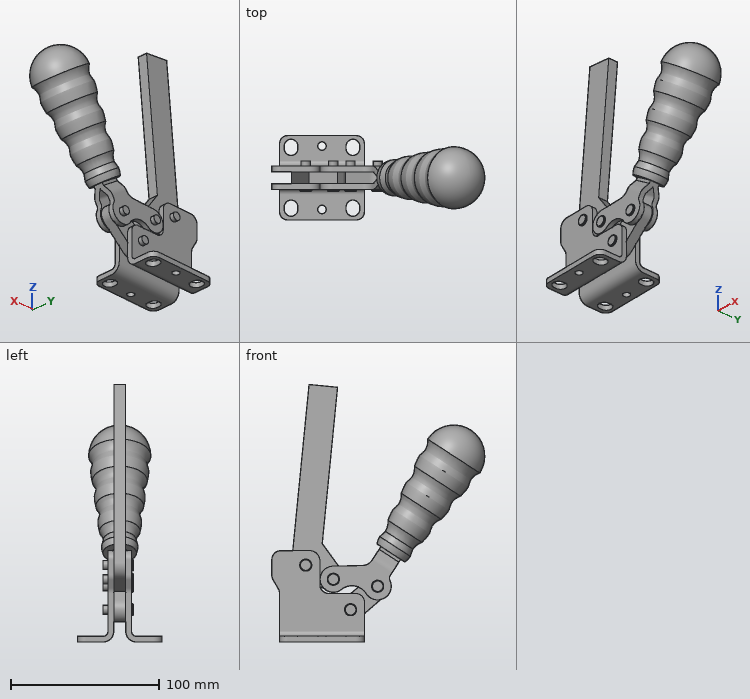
import cadquery as cq
import math


SHEET = 4.0
GAP = 8.0
INNER_Y = GAP / 2
OUTER_Y = INNER_Y + SHEET

HEIGHT = 173.8
BASE_LENGTH = 57.4
BASE_WIDTH = 57.0
BASE_END = BASE_LENGTH / 2
BEND_RADIUS = 3.3
FOOT_CORNER = 5.5
FRAME_LEFT = -33.9
FRAME_TOP = 61.7
FRAME_STEP_X = -1.4
FRAME_STEP_Z = 32.9
TAPER_TOP = 43.5
TAPER_BOTTOM = 34.6
FRAME_CORNER = 6.0
FRAME_SHOULDER_CORNER = 7.0

SLOT_WIDTH = 9.0
SLOT_LENGTH = 10.8
SLOT_X = 20.9
SLOT_Y = 20.5
HOLE_DIAMETER = 5.5
HOLE_Y = 21.4

BAR_PIVOT = (-11.0, 52.0)
ARM_PIVOT = (7.6, 42.5)
LINK_TOP = (37.5, 37.7)
LINK_BOTTOM = (19.3, 21.9)
HEAD_DIAMETER = 8.2
HEAD_HEIGHT = 1.2
HEAD_CHAMFER = 0.5
PIN_DIAMETER = 6.3
PIN_END_Y = 11.3

BAR_TILT = 5.6
BAR_HALF_WIDTH = 9.7
BAR_SHOULDER = 15.5
BAR_FOOT_RADIUS = 8.2
LINK_RADIUS = 8.2

ARM_RADIUS = 8.9
ELBOW_RADIUS = 9.2
ARCH_RADIUS = 11.3
ARM_TOP_RISE = 1.5
ARM_TOP_FILLET = 8.0
ARM_HEEL_FILLET = 3.5

HANDLE_BASE = (46.5, 60.1)
HANDLE_ANGLE = 57.0
NECK_WIDTH = 16.0
NECK_DROP = 10.6
NECK_BEND_ANGLE = 33.0
NECK_BEND_RADIUS = 7.5
TANG_DEPTH = 13.9

RING_COUNT = 4
GRIP_RADIUS = 11.3
RING_PITCH = 20.2
RING_GROWTH = 2.5
FIRST_CREST = 5.2
FIRST_CREST_RADIUS = 12.3
SWELL_BULGE = 0.26
WAIST_DISTANCE = 5.0
WAIST_DEPTH = 1.2
FLARE_LENGTH = 7.1
FLARE_RISE = 2.6
FLARE_HOLLOW = 0.7


def direction(degrees):
    angle = math.radians(degrees)
    return (math.cos(angle), math.sin(angle))


def along(start, heading, distance):
    return (start[0] + distance * heading[0], start[1] + distance * heading[1])


def on_circle(center, radius, degrees):
    return along(center, direction(degrees), radius)


def bearing(start, end):
    return math.degrees(math.atan2(end[1] - start[1], end[0] - start[0]))


def meeting_point(a, heading_a, b, heading_b):
    """Intersection of two lines, each given by a point and a heading."""
    cross = heading_a[0] * heading_b[1] - heading_a[1] * heading_b[0]
    distance = ((b[0] - a[0]) * heading_b[1] - (b[1] - a[1]) * heading_b[0]) / cross
    return along(a, heading_a, distance)


def slab_plane(y_max):
    """Sketch plane parallel to XZ; extruding from it goes towards -Y."""
    return cq.Workplane("XZ", origin=(0, y_max, 0))


def disc(center, diameter, y_min, y_max):
    return slab_plane(y_max).center(*center).circle(diameter / 2).extrude(y_max - y_min)


def with_mirror(body):
    return body.union(body.mirror("XZ"))


def make_frame_side():
    foot_y = OUTER_Y + BEND_RADIUS
    bend_top = SHEET + BEND_RADIUS
    shoulder = cq.selectors.NearestToPointSelector((FRAME_STEP_X, -INNER_Y - SHEET / 2, FRAME_TOP))
    plate = (
        slab_plane(-INNER_Y)
        .polyline([
            (-BASE_END, bend_top),
            (BASE_END, bend_top),
            (BASE_END, FRAME_STEP_Z),
            (FRAME_STEP_X, FRAME_STEP_Z),
            (FRAME_STEP_X, FRAME_TOP),
            (FRAME_LEFT, FRAME_TOP),
            (FRAME_LEFT, TAPER_TOP),
            (-BASE_END, TAPER_BOTTOM),
        ])
        .close()
        .extrude(SHEET)
    )
    shoulder_edge = plate.edges("|Y").edges(shoulder).val()
    corners = plate.edges("|Y and (not <Z)").filter(lambda edge: not edge.isSame(shoulder_edge))
    plate = corners.fillet(FRAME_CORNER)
    plate = plate.edges("|Y").edges(shoulder).fillet(FRAME_SHOULDER_CORNER)
    bend = (
        cq.Workplane("YZ", origin=(-BASE_END, 0, 0))
        .moveTo(-INNER_Y, bend_top)
        .radiusArc((-foot_y, 0), bend_top)
        .lineTo(-foot_y, SHEET)
        .radiusArc((-OUTER_Y, bend_top), -BEND_RADIUS)
        .close()
        .extrude(BASE_LENGTH)
    )
    foot_depth = BASE_WIDTH / 2 - foot_y
    foot = (
        cq.Workplane("XY")
        .center(0, -foot_y - foot_depth / 2)
        .rect(BASE_LENGTH, foot_depth)
        .extrude(SHEET)
        .edges("|Z and <Y")
        .fillet(FOOT_CORNER)
    )
    slots = (
        cq.Workplane("XY")
        .pushPoints([(-SLOT_X, -SLOT_Y), (SLOT_X, -SLOT_Y)])
        .slot2D(SLOT_LENGTH, SLOT_WIDTH, 90)
        .extrude(SHEET)
    )
    hole = cq.Workplane("XY").center(0, -HOLE_Y).circle(HOLE_DIAMETER / 2).extrude(SHEET)
    return plate.union(bend).union(foot.cut(slots).cut(hole))


def make_bar():
    up = direction(90 - BAR_TILT)
    right = direction(-BAR_TILT)
    left_of_pivot = along(BAR_PIVOT, right, -BAR_HALF_WIDTH)
    right_of_pivot = along(BAR_PIVOT, right, BAR_HALF_WIDTH)
    top_left = along(left_of_pivot, up, (HEIGHT - left_of_pivot[1]) / up[1])
    top_right = along(top_left, right, 2 * BAR_HALF_WIDTH)
    shoulder = along(right_of_pivot, up, BAR_SHOULDER)

    spacing = math.dist(BAR_PIVOT, ARM_PIVOT)
    narrowing = math.degrees(math.asin((BAR_HALF_WIDTH - BAR_FOOT_RADIUS) / spacing))
    under = bearing(BAR_PIVOT, ARM_PIVOT) - 90 + narrowing

    shoulder_reach = math.dist(ARM_PIVOT, shoulder)
    swing = math.degrees(math.acos(BAR_FOOT_RADIUS / shoulder_reach))
    slope = bearing(ARM_PIVOT, shoulder) - swing

    start = 180 - BAR_TILT
    return (
        slab_plane(INNER_Y)
        .moveTo(*top_left)
        .lineTo(*left_of_pivot)
        .threePointArc(
            on_circle(BAR_PIVOT, BAR_HALF_WIDTH, (start + under + 360) / 2),
            on_circle(BAR_PIVOT, BAR_HALF_WIDTH, under),
        )
        .lineTo(*on_circle(ARM_PIVOT, BAR_FOOT_RADIUS, under))
        .threePointArc(
            on_circle(ARM_PIVOT, BAR_FOOT_RADIUS, (under + slope) / 2),
            on_circle(ARM_PIVOT, BAR_FOOT_RADIUS, slope),
        )
        .lineTo(*shoulder)
        .lineTo(*top_right)
        .close()
        .extrude(GAP)
    )


def make_link():
    middle = [(a + b) / 2 for a, b in zip(LINK_TOP, LINK_BOTTOM)]
    length = math.dist(LINK_TOP, LINK_BOTTOM) + 2 * LINK_RADIUS
    return (
        slab_plane(INNER_Y)
        .center(*middle)
        .slot2D(length, 2 * LINK_RADIUS, bearing(LINK_BOTTOM, LINK_TOP))
        .extrude(GAP)
    )


def handle_plane():
    """Plane on the handle axis: local x along the grip, local y along Y."""
    axis = direction(HANDLE_ANGLE)
    return cq.Workplane(
        cq.Plane(
            origin=(HANDLE_BASE[0], 0, HANDLE_BASE[1]),
            xDir=(axis[0], 0, axis[1]),
            normal=(-axis[1], 0, axis[0]),
        )
    )


def arch_center():
    """Centre of the arc that touches the rounds about both arm pivots from below."""
    spacing = math.dist(ARM_PIVOT, LINK_TOP)
    near = ARM_RADIUS + ARCH_RADIUS
    far = ELBOW_RADIUS + ARCH_RADIUS
    cosine = (near**2 + spacing**2 - far**2) / (2 * near * spacing)
    return on_circle(ARM_PIVOT, near, bearing(ARM_PIVOT, LINK_TOP) - math.degrees(math.acos(cosine)))


def make_arm():
    axis = direction(HANDLE_ANGLE)
    across = direction(HANDLE_ANGLE - 90)
    neck_start = along(HANDLE_BASE, axis, -NECK_DROP)
    neck_left = along(neck_start, across, -NECK_WIDTH / 2)
    neck_right = along(neck_start, across, NECK_WIDTH / 2)
    top_angle = 90 + ARM_TOP_RISE
    top_start = on_circle(ARM_PIVOT, ARM_RADIUS, top_angle)
    crook = meeting_point(top_start, direction(ARM_TOP_RISE), neck_left, axis)

    edge_offset = (neck_right[0] - LINK_TOP[0]) * across[0] + (neck_right[1] - LINK_TOP[1]) * across[1]
    heel_angle = HANDLE_ANGLE - 90 + math.degrees(math.acos(edge_offset / ELBOW_RADIUS))
    heel = on_circle(LINK_TOP, ELBOW_RADIUS, heel_angle)

    arch = arch_center()
    arch_from = bearing(ARM_PIVOT, arch)
    arch_to = bearing(LINK_TOP, arch)
    crown = (arch_from + 180 + arch_to + 540) / 2 - 180
    plate = (
        slab_plane(-INNER_Y)
        .moveTo(*top_start)
        .threePointArc(
            on_circle(ARM_PIVOT, ARM_RADIUS, (top_angle + arch_from + 360) / 2),
            on_circle(ARM_PIVOT, ARM_RADIUS, arch_from),
        )
        .threePointArc(
            on_circle(arch, ARCH_RADIUS, crown),
            on_circle(LINK_TOP, ELBOW_RADIUS, arch_to),
        )
        .threePointArc(
            on_circle(LINK_TOP, ELBOW_RADIUS, (arch_to + heel_angle) / 2),
            heel,
        )
        .lineTo(*neck_right)
        .lineTo(*neck_left)
        .lineTo(*crook)
        .close()
        .extrude(SHEET)
    )
    for corner, radius in [(crook, ARM_TOP_FILLET), (heel, ARM_HEEL_FILLET)]:
        nearest = cq.selectors.NearestToPointSelector((corner[0], -INNER_Y - SHEET / 2, corner[1]))
        plate = plate.edges("|Y").edges(nearest).fillet(radius)
    return plate.union(make_neck())


def make_neck():
    """Strip that bends inwards from the arm to Y = 0, then runs into the grip."""
    bend_center = (-NECK_DROP, NECK_BEND_RADIUS - OUTER_Y)
    inner_radius = NECK_BEND_RADIUS - SHEET
    bend_end = NECK_BEND_ANGLE - 90
    bend_middle = NECK_BEND_ANGLE / 2 - 90
    inward = direction(NECK_BEND_ANGLE)
    outer_end = on_circle(bend_center, NECK_BEND_RADIUS, bend_end)
    inner_end = on_circle(bend_center, inner_radius, bend_end)
    tang_outer = meeting_point(outer_end, inward, (0, -SHEET), (1, 0))
    tang_inner = meeting_point(inner_end, inward, (0, 0), (1, 0))
    return (
        handle_plane()
        .moveTo(-NECK_DROP, -OUTER_Y)
        .threePointArc(on_circle(bend_center, NECK_BEND_RADIUS, bend_middle), outer_end)
        .lineTo(*tang_outer)
        .lineTo(TANG_DEPTH, -SHEET)
        .lineTo(TANG_DEPTH, 0)
        .lineTo(*tang_inner)
        .lineTo(*inner_end)
        .threePointArc(
            on_circle(bend_center, inner_radius, bend_middle),
            (-NECK_DROP, -INNER_Y),
        )
        .close()
        .extrude(NECK_WIDTH / 2, both=True)
    )


def make_grip():
    """Revolved grip: each ring swells to a crest, narrows to a waist, then flares to the next."""
    ring_start = (0, GRIP_RADIUS)
    profile = handle_plane().lineTo(*ring_start)
    for ring in range(RING_COUNT):
        crest = (FIRST_CREST + ring * RING_PITCH, FIRST_CREST_RADIUS + ring * RING_GROWTH)
        waist = (crest[0] + WAIST_DISTANCE, crest[1] - WAIST_DEPTH)
        flare_end = (waist[0] + FLARE_LENGTH, waist[1] + FLARE_RISE)
        profile = (
            profile.threePointArc(raised_middle(ring_start, crest, SWELL_BULGE), crest)
            .lineTo(*waist)
            .threePointArc(raised_middle(waist, flare_end, -FLARE_HOLLOW), flare_end)
        )
        ring_start = flare_end
    dome_start, dome_radius = ring_start
    dome_side = on_circle((dome_start, 0), dome_radius, 45)
    return (
        profile.threePointArc(dome_side, (dome_start + dome_radius, 0))
        .close()
        .revolve(360, (0, 0), (1, 0))
    )


def raised_middle(a, b, rise):
    return ((a[0] + b[0]) / 2, (a[1] + b[1]) / 2 + rise)


def make_pin(center):
    head = (
        disc(center, HEAD_DIAMETER, -OUTER_Y - HEAD_HEIGHT, -OUTER_Y)
        .faces("<Y")
        .chamfer(HEAD_CHAMFER)
    )
    return head.union(disc(center, PIN_DIAMETER, -OUTER_Y, PIN_END_Y))


result = with_mirror(make_frame_side()).union(make_bar()).union(make_link())
result = result.union(with_mirror(make_arm())).union(make_grip())
for pivot in (BAR_PIVOT, ARM_PIVOT, LINK_TOP, LINK_BOTTOM):
    result = result.union(make_pin(pivot))